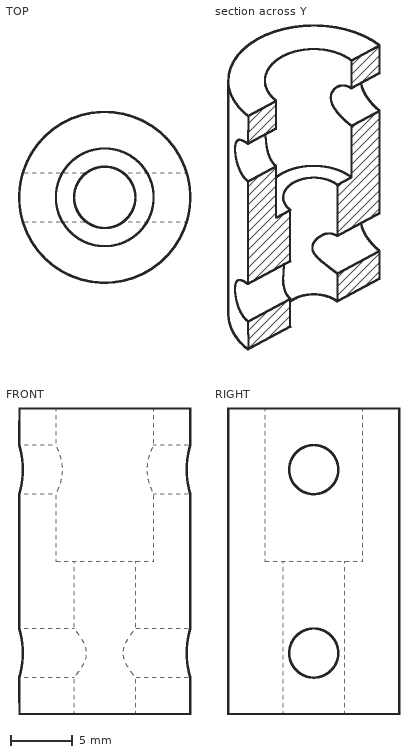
import cadquery as cq

length = 25
outer_diameter = 14

wide_bore_diameter = 8
narrow_bore_diameter = 5
wide_bore_depth = length / 2

screw_hole_diameter = 4
screw_hole_end_distance = 5
screw_hole_heights = (screw_hole_end_distance, length - screw_hole_end_distance)


def sleeve():
    """Plain cylinder with the stepped bore opened from the top."""
    return (
        cq.Workplane("XY")
        .circle(outer_diameter / 2)
        .extrude(length)
        .faces(">Z")
        .workplane()
        .cboreHole(narrow_bore_diameter, wide_bore_diameter, wide_bore_depth)
    )


def screw_holes():
    """Cross cylinders centred on the sleeve axis, one near each end."""
    return (
        cq.Workplane("YZ")
        .pushPoints([(0, height) for height in screw_hole_heights])
        .circle(screw_hole_diameter / 2)
        .extrude(outer_diameter, both=True)
    )


result = sleeve().cut(screw_holes())